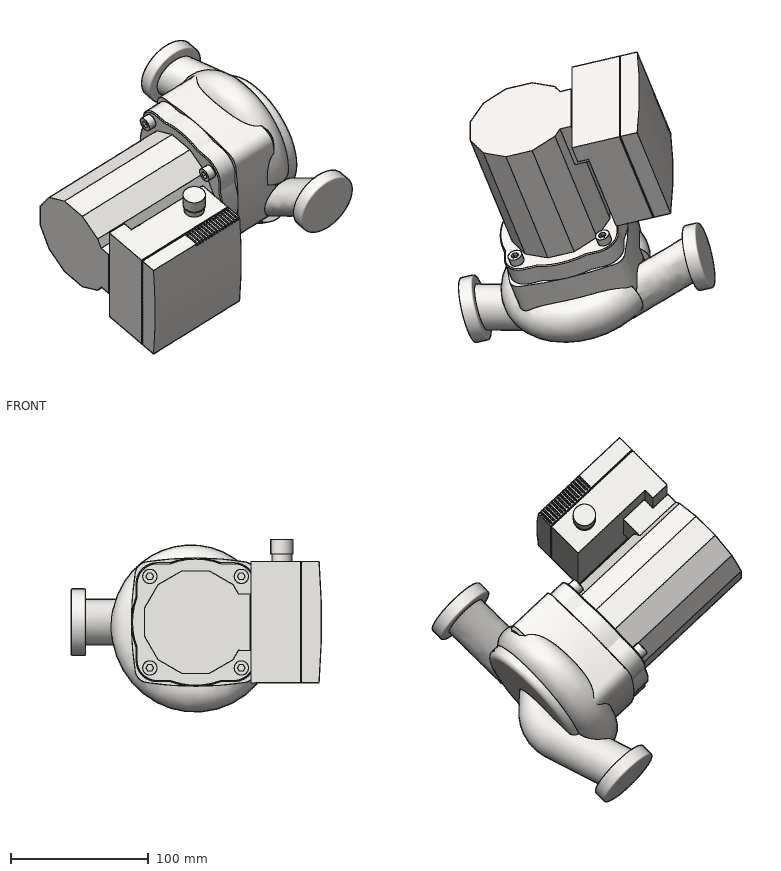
import cadquery as cq
import math


OVERALL_LENGTH = 199.0
MOTOR_FLANGE_FRONT = 102.7
MOTOR_FLANGE_BACK = 117.5
CASING_SQUARE_BACK = 155.5
CASING_BACK = 176.0
VOLUTE_Y = 155.5
PORT_Y = 165.5

CASING_HALF_WIDTH = 46.5
CASING_CORNER_SIDE = 43.8
CASING_CORNER_START = 35.8
CASING_SQUARE_CHAMFER = 2.2
CASING_BACK_FILLET = 4.8
VOLUTE_START_RADIUS = 37.5
VOLUTE_START_TUBE = 13.5
VOLUTE_RADIUS_GAIN = 4.0
VOLUTE_TUBE_GAIN = 1.2
VOLUTE_STATION_STEP = 30.0
VOLUTE_SPIRAL_END = 240.0
VOLUTE_BOTTOM_ANGLE = 270.0
VOLUTE_BOTTOM_RADIUS = 48.4
VOLUTE_BOTTOM_TUBE = 17.1
OUTLET_ANGLE = 315.0
OUTLET_RADIUS = 46.5
OUTLET_TUBE = 16.7
OUTLET_START_Y = 159.0

PORT_REACH = 90.3
PORT_RADIUS = 24.3
PORT_THICKNESS = 10.5
PORT_EDGE_FILLET = 1.2
PIPE_RADIUS = 16.7

ELBOW_CENTRE_X = -25.0
ELBOW_BEND_RADIUS = 20.0
ELBOW_CENTRE_Y = OVERALL_LENGTH - PIPE_RADIUS - ELBOW_BEND_RADIUS
ELBOW_RISE = 18.0
ELBOW_FALL = 46.0
ELBOW_TAIL = 16.0

CAN_SIDES = 12
CAN_INRADIUS = 37.2
FLANGE_HALF_WIDTH = 43.2
FLANGE_CORNER_RADIUS = 15.3
FLANGE_BULGE_HALF_CHORD = 18.5
FLANGE_CHAMFER = 0.8
NECK_HALF_HEIGHT = 20.5
NECK_LENGTH = 36.5

SCREW_PITCH = 66.5
SCREW_HEAD_RADIUS = 5.2
SCREW_HEAD_HEIGHT = 6.2
SOCKET_ACROSS_CORNERS = 5.5
SOCKET_DEPTH = 3.0
SOCKET_SIDES = 6

BOX_INNER_X = 48.4
BOX_OUTER_X = 76.2
BOX_LENGTH = 82.2
BOX_HALF_HEIGHT = 44.2
FOOT_INNER_X = 40.2
FOOT_LENGTH = 14.3
FOOT_GAP = 0.8
GLAND_X = 62.7
GLAND_Y = 61.9
GLAND_STEM_RADIUS = 7.4
GLAND_CAP_RADIUS = 8.2
GLAND_STEM_TOP = 49.5
GLAND_CAP_TOP = 60.0

COVER_REVEAL = 0.8
COVER_EDGE_X = 89.7
COVER_CROWN_X = 91.5
SLOT_COUNT = 15
SLOT_WIDTH = 1.2
SLOT_DEPTH = 2.0
SLOT_INNER_X = 78.2
SLOT_FIRST_Y = 41.5
SLOT_LAST_Y = 80.2


def block(x_range, y_range, z_range):
    """A box given by its lower and upper bound on each axis."""
    (x0, x1), (y0, y1), (z0, z1) = x_range, y_range, z_range
    return cq.Workplane("XY").box(x1 - x0, y1 - y0, z1 - z0, centered=False).translate((x0, y0, z0))


def plane_at(y):
    """A sketch plane across the motor axis, with local axes X and Z, that extrudes toward -Y."""
    return cq.Workplane("XZ", origin=(0, y, 0))


def turned(point, angle):
    """A point of the XZ plane turned about the motor axis."""
    x, z = point
    c, s = math.cos(math.radians(angle)), math.sin(math.radians(angle))
    return (c * x - s * z, s * x + c * z)


def casing_square():
    """Square front of the casing: four bowed sides running smoothly into round corners."""
    start = CASING_CORNER_START
    side = CASING_CORNER_SIDE
    bow_end_slope = 2 * math.atan((CASING_HALF_WIDTH - side) / start)
    corner_half_turn = math.pi / 4 - bow_end_slope
    corner_sagitta = (side - start) * math.sqrt(0.5) * math.tan(corner_half_turn / 2)
    corner_mid = (side + start) / 2 + corner_sagitta * math.sqrt(0.5)
    outline = plane_at(CASING_SQUARE_BACK).moveTo(side, -start)
    for angle in (0, 90, 180, 270):
        outline = outline.threePointArc(turned((CASING_HALF_WIDTH, 0), angle), turned((side, start), angle))
        outline = outline.threePointArc(
            turned((corner_mid, corner_mid), angle), turned((start, side), angle)
        )
    square = outline.close().extrude(CASING_SQUARE_BACK - MOTOR_FLANGE_BACK)
    return square.faces(">Y").edges().chamfer(CASING_SQUARE_CHAMFER)


def casing_disc():
    """Round back of the casing."""
    disc = plane_at(CASING_BACK).circle(CASING_HALF_WIDTH).extrude(CASING_BACK - MOTOR_FLANGE_BACK)
    return disc.faces(">Y").edges().fillet(CASING_BACK_FILLET)


def volute_section(angle, radius, tube_radius):
    """Circular wire of the volute, standing radially at an angle about the motor axis."""
    x, z = turned((radius, 0), angle)
    tangent_x, tangent_z = turned((0, 1), angle)
    section_plane = cq.Plane((x, VOLUTE_Y, z), (-x, 0, -z), (tangent_x, 0, tangent_z))
    return cq.Workplane(section_plane).circle(tube_radius).wires().val()


def volute():
    """Spiral tube that widens around the casing, then closes in slightly toward the outlet pipe."""
    sections = []
    for i in range(round(VOLUTE_SPIRAL_END / VOLUTE_STATION_STEP) + 1):
        angle = i * VOLUTE_STATION_STEP
        quarters = angle / 90
        radius = VOLUTE_START_RADIUS + VOLUTE_RADIUS_GAIN * quarters
        tube_radius = VOLUTE_START_TUBE + VOLUTE_TUBE_GAIN * quarters
        sections.append(volute_section(angle, radius, tube_radius))
    sections.append(volute_section(VOLUTE_BOTTOM_ANGLE, VOLUTE_BOTTOM_RADIUS, VOLUTE_BOTTOM_TUBE))
    sections.append(volute_section(OUTLET_ANGLE, OUTLET_RADIUS, OUTLET_TUBE))
    return cq.Workplane(cq.Solid.makeLoft(sections))


def outlet_pipe():
    """Straight pipe from the end of the volute to the outlet port."""
    x, z = turned((OUTLET_RADIUS, 0), OUTLET_ANGLE)
    along_x = cq.Vector(1, 0, 0)
    start = cq.Wire.makeCircle(OUTLET_TUBE, cq.Vector(x, OUTLET_START_Y, z), along_x)
    end = cq.Wire.makeCircle(PIPE_RADIUS, cq.Vector(PORT_REACH - PORT_THICKNESS, PORT_Y, 0), along_x)
    return cq.Workplane(cq.Solid.makeLoft([start, end]))


def elbow_point(angle):
    """Point of the elbow bend, the angle counted clockwise from its crest."""
    a = math.radians(angle)
    x = ELBOW_CENTRE_X + ELBOW_BEND_RADIUS * math.sin(a)
    y = ELBOW_CENTRE_Y + ELBOW_BEND_RADIUS * math.cos(a)
    return (x, y)


def inlet_elbow():
    """Pipe that rises from the inlet port, bends and enters the back of the casing."""
    bend_start = elbow_point(-ELBOW_RISE)
    bend_end = elbow_point(ELBOW_FALL)
    rise = math.radians(ELBOW_RISE)
    fall = math.radians(ELBOW_FALL)
    tail_end = (bend_end[0] + ELBOW_TAIL * math.cos(fall), bend_end[1] - ELBOW_TAIL * math.sin(fall))
    port_x = -PORT_REACH + PORT_THICKNESS / 2
    port_y = bend_start[1] - (bend_start[0] - port_x) * math.tan(rise)
    path = (
        cq.Workplane("XY")
        .moveTo(port_x, port_y)
        .lineTo(*bend_start)
        .threePointArc(elbow_point(0), bend_end)
        .lineTo(*tail_end)
    )
    start_plane = cq.Plane((port_x, port_y, 0), (0, 0, 1), (math.cos(rise), math.sin(rise), 0))
    pipe = cq.Workplane(start_plane).circle(PIPE_RADIUS).sweep(path)
    beyond_port = block((-2 * PORT_REACH, port_x), (0, OVERALL_LENGTH), (-PORT_RADIUS, PORT_RADIUS))
    return pipe.cut(beyond_port)


def port(x_start):
    """Blank pipe flange that starts at the given X."""
    disc = cq.Workplane("YZ", origin=(x_start, PORT_Y, 0)).circle(PORT_RADIUS).extrude(PORT_THICKNESS)
    return disc.edges().fillet(PORT_EDGE_FILLET)


def make_casing():
    """Pump casing with its volute, pipes and ports as one solid."""
    casing = casing_disc().union(casing_square()).union(volute()).union(outlet_pipe()).union(inlet_elbow())
    return casing.union(port(-PORT_REACH)).union(port(PORT_REACH - PORT_THICKNESS))


def motor_flange():
    """Mounting plate: rounded corners, and a bulge in the middle of every side."""
    side = FLANGE_HALF_WIDTH
    centre = side - FLANGE_CORNER_RADIUS
    corner_mid = centre + FLANGE_CORNER_RADIUS * math.sqrt(0.5)
    chord = FLANGE_BULGE_HALF_CHORD
    outline = plane_at(MOTOR_FLANGE_BACK).moveTo(side, -centre)
    for angle in (0, 90, 180, 270):
        outline = outline.lineTo(*turned((side, -chord), angle))
        outline = outline.threePointArc(turned((CASING_HALF_WIDTH, 0), angle), turned((side, chord), angle))
        outline = outline.lineTo(*turned((side, centre), angle))
        outline = outline.threePointArc(
            turned((corner_mid, corner_mid), angle), turned((centre, side), angle)
        )
    plate = outline.close().extrude(MOTOR_FLANGE_BACK - MOTOR_FLANGE_FRONT)
    return plate.faces("<Y").edges().chamfer(FLANGE_CHAMFER)


def motor_can():
    """Twelve-sided motor body with flats facing the X and Z directions."""
    half_step = math.pi / CAN_SIDES
    diameter = 2 * CAN_INRADIUS / math.cos(half_step)
    can = plane_at(MOTOR_FLANGE_FRONT).polygon(CAN_SIDES, diameter).extrude(MOTOR_FLANGE_FRONT)
    return can.rotate((0, 0, 0), (0, 1, 0), math.degrees(half_step))


def motor_neck():
    """Neck that carries the terminal box, stepped back to leave room for the foot of the box."""
    height = (-NECK_HALF_HEIGHT, NECK_HALF_HEIGHT)
    neck = block((0, BOX_INNER_X), (0, NECK_LENGTH), height)
    foot_room = block((FOOT_INNER_X - FOOT_GAP, BOX_INNER_X), (0, FOOT_LENGTH + FOOT_GAP), height)
    return neck.cut(foot_room)


def make_motor():
    """Motor with its mounting flange and the neck for the terminal box as one solid."""
    return motor_flange().union(motor_can()).union(motor_neck())


def make_screw(x, z):
    """Socket head that sits on the motor flange."""
    front = MOTOR_FLANGE_FRONT - SCREW_HEAD_HEIGHT
    head = plane_at(MOTOR_FLANGE_FRONT).center(x, z).circle(SCREW_HEAD_RADIUS).extrude(SCREW_HEAD_HEIGHT)
    socket_floor = plane_at(front + SOCKET_DEPTH).center(x, z)
    socket = socket_floor.polygon(SOCKET_SIDES, SOCKET_ACROSS_CORNERS).extrude(SOCKET_DEPTH)
    return head.cut(socket)


def make_box():
    """Terminal box: a block with a foot along its front edge and a cable gland on top."""
    height = (-BOX_HALF_HEIGHT, BOX_HALF_HEIGHT)
    box = block((BOX_INNER_X, BOX_OUTER_X), (0, BOX_LENGTH), height)
    foot = block((FOOT_INNER_X, BOX_INNER_X), (0, FOOT_LENGTH), height)
    gland = (
        cq.Workplane("XY", origin=(GLAND_X, GLAND_Y, BOX_HALF_HEIGHT))
        .circle(GLAND_STEM_RADIUS)
        .extrude(GLAND_STEM_TOP - BOX_HALF_HEIGHT)
        .faces(">Z")
        .workplane()
        .circle(GLAND_CAP_RADIUS)
        .extrude(GLAND_CAP_TOP - GLAND_STEM_TOP)
    )
    return box.union(foot).union(gland)


def make_cover():
    """Cover with a crowned outer face, a stepped joint to the box and cooling slots along the top."""
    inner_x = BOX_OUTER_X + COVER_REVEAL
    shell = (
        plane_at(BOX_LENGTH)
        .moveTo(inner_x, -BOX_HALF_HEIGHT)
        .lineTo(COVER_EDGE_X, -BOX_HALF_HEIGHT)
        .threePointArc((COVER_CROWN_X, 0), (COVER_EDGE_X, BOX_HALF_HEIGHT))
        .lineTo(inner_x, BOX_HALF_HEIGHT)
        .close()
        .extrude(BOX_LENGTH)
    )
    lip_half_height = BOX_HALF_HEIGHT - COVER_REVEAL
    lip = block(
        (BOX_OUTER_X, inner_x),
        (COVER_REVEAL, BOX_LENGTH - COVER_REVEAL),
        (-lip_half_height, lip_half_height),
    )
    cover = shell.union(lip)
    slot_pitch = (SLOT_LAST_Y - SLOT_FIRST_Y) / (SLOT_COUNT - 1)
    for i in range(SLOT_COUNT):
        y = SLOT_FIRST_Y + i * slot_pitch
        slot = block(
            (SLOT_INNER_X, COVER_CROWN_X),
            (y - SLOT_WIDTH / 2, y + SLOT_WIDTH / 2),
            (BOX_HALF_HEIGHT - SLOT_DEPTH, BOX_HALF_HEIGHT),
        )
        cover = cover.cut(slot)
    return cover


casing = make_casing()
motor = make_motor()
screws = []
for screw_x in (-SCREW_PITCH / 2, SCREW_PITCH / 2):
    for screw_z in (-SCREW_PITCH / 2, SCREW_PITCH / 2):
        screws.append(make_screw(screw_x, screw_z))
box = make_box()
cover = make_cover()

result = cq.Compound.makeCompound(
    [
        casing.solids().val(),
        motor.solids().val(),
        *[screw.solids().val() for screw in screws],
        box.solids().val(),
        cover.solids().val(),
    ]
)